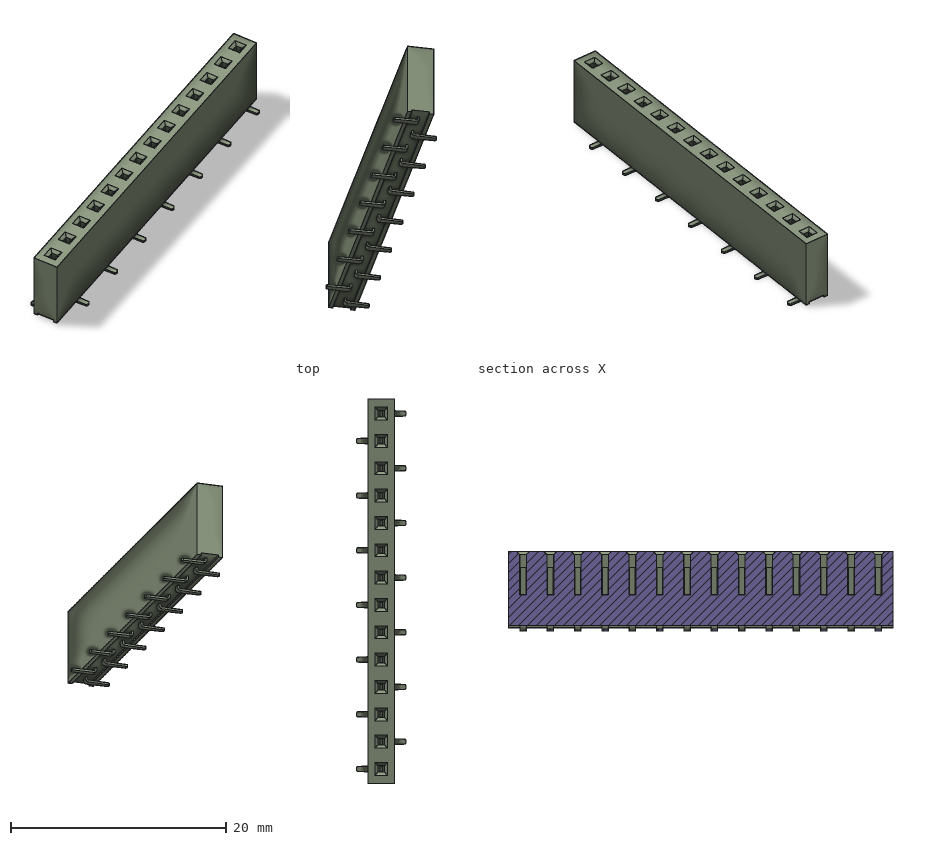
import cadquery as cq

PIN_COUNT = 14
PITCH = 2.54
OVERALL_HEIGHT = 7.4
LEAD_SPAN = 4.64

BODY_WIDTH = 2.5
BODY_END_MARGIN = 0.1
BODY_LENGTH = PIN_COUNT * PITCH + 2 * BODY_END_MARGIN
STANDOFF = 0.3
BODY_HEIGHT = OVERALL_HEIGHT - STANDOFF

CHANNEL_WIDTH = 1.7
CHANNEL_DEPTH = 0.2

FUNNEL_WIDTH = 1.2
HOLE_WIDTH = 0.6
FUNNEL_DEPTH = (FUNNEL_WIDTH - HOLE_WIDTH) / 2
HOLE_DEPTH = 4.0
SOCKET_FLOOR = OVERALL_HEIGHT - HOLE_DEPTH

POST_WIDTH = 0.6
TIP_WIDTH = 0.48
LEAD_THICKNESS = 0.2
BEND_INNER_RADIUS = 0.1
TIP_CROWN = 0.1
BLADE_WIDTH = 0.5
BLADE_RECESS = 1.5
BLADE_HEIGHT = HOLE_DEPTH - BLADE_RECESS


def make_housing():
    """Solid housing with the channel running the full length of its underside."""
    body = cq.Workplane("XY").box(
        BODY_WIDTH, BODY_LENGTH, BODY_HEIGHT, centered=(True, True, False)
    )
    channel = cq.Workplane("XY").box(
        CHANNEL_WIDTH, BODY_LENGTH, CHANNEL_DEPTH, centered=(True, True, False)
    )
    return body.cut(channel).translate((0, 0, STANDOFF))


def make_socket(y):
    """Material removed for one socket."""
    mouth = cq.Workplane("XY", origin=(0, y, OVERALL_HEIGHT))
    funnel = (
        mouth.rect(FUNNEL_WIDTH, FUNNEL_WIDTH)
        .workplane(offset=-FUNNEL_DEPTH)
        .rect(HOLE_WIDTH, HOLE_WIDTH)
        .loft(ruled=True)
    )
    hole = mouth.rect(HOLE_WIDTH, HOLE_WIDTH).extrude(-HOLE_DEPTH)
    return funnel.union(hole)


def make_contact(y, side):
    """L-shaped contact whose foot points to +X (side = 1) or -X (side = -1)."""
    half_thickness = LEAD_THICKNESS / 2
    taper_start = BEND_INNER_RADIUS + half_thickness
    foot_tip = LEAD_SPAN / 2
    foot = (
        cq.Workplane("XY")
        .moveTo(-half_thickness, -POST_WIDTH / 2)
        .lineTo(taper_start, -POST_WIDTH / 2)
        .lineTo(foot_tip - TIP_CROWN, -TIP_WIDTH / 2)
        .threePointArc((foot_tip, 0), (foot_tip - TIP_CROWN, TIP_WIDTH / 2))
        .lineTo(taper_start, POST_WIDTH / 2)
        .lineTo(-half_thickness, POST_WIDTH / 2)
        .close()
        .extrude(LEAD_THICKNESS)
    )
    post = cq.Workplane("XY").box(
        LEAD_THICKNESS, POST_WIDTH, SOCKET_FLOOR, centered=(True, True, False)
    )
    blade = cq.Workplane("XY").box(
        LEAD_THICKNESS, BLADE_WIDTH, BLADE_HEIGHT, centered=(True, True, False)
    )
    inner_corner = cq.selectors.NearestToPointSelector((half_thickness, 0, LEAD_THICKNESS))
    contact = (
        foot.union(post)
        .edges(inner_corner)
        .fillet(BEND_INNER_RADIUS)
        .edges("|Y and <X and <Z")
        .fillet(BEND_INNER_RADIUS + LEAD_THICKNESS)
        .union(blade.translate((0, 0, SOCKET_FLOOR)))
    )
    if side < 0:
        contact = contact.rotate((0, 0, 0), (0, 0, 1), 180)
    return contact.translate((0, y, 0))


pin_positions = [((PIN_COUNT - 1) / 2 - index) * PITCH for index in range(PIN_COUNT)]

result = make_housing()
for y in pin_positions:
    result = result.cut(make_socket(y))
for index, y in enumerate(pin_positions):
    foot_side = 1 if index % 2 == 0 else -1
    result = result.union(make_contact(y, foot_side))